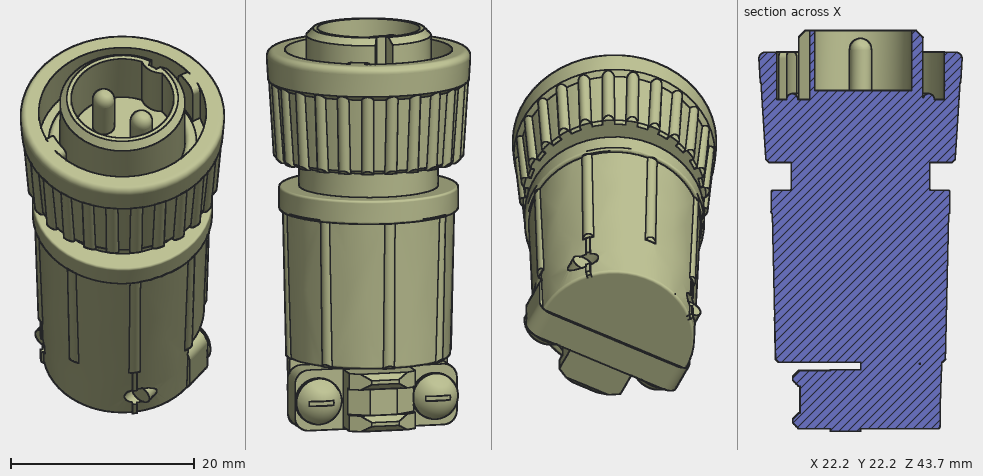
import cadquery as cq
import math

TOTAL_HEIGHT = 43.65
SHELL_BOTTOM = 0.25
SKIRT_BOTTOM = 7.5
BODY_TOP = 23.65
COLLAR_TOP = 26.25
NUT_BOTTOM = 29.25
NUT_LIP = 38.0
NUT_GRIP_TOP = 37.5
NUT_TOP = 41.27
NUT_FLOOR = 36.13
SOCKET_FLOOR = 37.1

BODY_TOP_RADIUS = 9.35
BODY_BOTTOM_RADIUS = 8.7
BODY_FILLET = 0.3
COLLAR_RADIUS = 9.77
COLLAR_FILLET = 0.25
NECK_RADIUS = 7.6
GRIP_RIB_COUNT = 8
GRIP_RIB_BOTTOM_HEIGHT = 0.35
GRIP_RIB_TOP_HEIGHT = 0.3
GRIP_RIB_RADIUS = 0.7
GRIP_RIB_BEVEL = 0.3
SEAM_RIB_WIDTH = 0.5
SEAM_RIB_RADIUS = 9.0
SEAM_RIB_BEVEL = 0.3
SEAM_ANGLES = (225, 315)

NUT_RADIUS = 11.147
NUT_TOP_FILLET = 0.75
NUT_LIP_RADIUS = 10.95
NUT_GRIP_TOP_RADIUS = 10.85
NUT_BOTTOM_RADIUS = 10.25
NUT_BOTTOM_BEVEL = 0.3
NUT_BORE_RADIUS = 9.1
NUT_RIB_COUNT = 24
NUT_RIB_RADIUS = 0.675
NUT_RIB_HEIGHT = 0.52
LUG_ANGLES = (68, 248)
LUG_INNER_RADIUS = 8.2
LUG_WIDTH = 2.95
LUG_FILLET = 0.7

TUBE_RADIUS = 6.8
TUBE_BORE_RADIUS = 5.6
TUBE_RIM_CHAMFER = 0.75
KEY_OUTER_WIDTH = 2.0
KEY_INNER_WIDTH = 1.0
KEY_DEPTH_RADIUS = 5.55
KEY_WALL_RADIUS = 2.3
KEY_WALL_TIP = 4.97
SEAL_OUTER_RADIUS = 8.05
PIN_SPACING = 5.1
PIN_RADIUS = 1.2
PIN_TOP = 42.75

CLAMP_WIDTH = 18.2
CLAMP_DEPTH = 3.27
CLAMP_HEIGHT = 6.7
CLAMP_FILLET = 1.53
SCREW_SPACING = 13.1
SCREW_HEIGHT = 3.27
SCREW_RADIUS = 1.18
SCREW_TIP = 5.55
SCREW_HEAD_RADIUS = 2.55
SCREW_HEAD_RIM = 0.55
SCREW_HEAD_DOME = 1.4
SCREW_SLOT_WIDTH = 0.52
SCREW_SLOT_DEPTH = 0.35

ARCH_WIDTH = 7.4
ARCH_REACH = 7.37
ARCH_WEB_REACH = 6.6
ARCH_HEIGHT = 6.35
ARCH_FLANGE_HEIGHT = 1.75
ARCH_CROWN_WIDTH = 3.05
ARCH_SHOULDER = 1.3
ARCH_FLANGE_BEVEL = 0.65

OVERLAP = 0.87


def cylinder(radius, bottom, top):
    return cq.Workplane("XY").workplane(offset=bottom).circle(radius).extrude(top - bottom)


def box(width, depth, height, center_x, front, bottom):
    """Box centred on center_x, starting at y = front and z = bottom."""
    block = cq.Workplane("XY").box(width, depth, height, centered=(True, False, False))
    return block.translate((center_x, front, bottom))


def cone(bottom_radius, top_radius, bottom, top):
    outline = [(0, bottom), (bottom_radius, bottom), (top_radius, top), (0, top)]
    return cq.Workplane("XZ").polyline(outline).close().revolve(360, (0, 0), (0, 1))


def turn(shape, angle):
    return shape.rotate(cq.Vector(0, 0, 0), cq.Vector(0, 0, 1), angle)


def rod_ring(count, rod_radius, bottom_radius, top_radius, bottom, top):
    """Ring of leaning round rods; the two ring radii are those of the rod axes."""
    lean = top_radius - bottom_radius
    rise = top - bottom
    rod = cq.Solid.makeCylinder(
        rod_radius,
        math.hypot(lean, rise),
        cq.Vector(bottom_radius, 0, bottom),
        cq.Vector(lean, 0, rise),
    )
    rods = [turn(rod, 360 * index / count) for index in range(count)]
    return cq.Workplane(cq.Compound.makeCompound(rods))


def beveled_envelope(bottom_radius, bottom, top):
    """Cone widening at 45 degrees, used to bevel the lower ends of ribs."""
    return cone(bottom_radius, bottom_radius + top - bottom, bottom, top)


def body_radius(height):
    """Radius of the tapered body wall at a height."""
    slope = (BODY_TOP_RADIUS - BODY_BOTTOM_RADIUS) / (BODY_TOP - SHELL_BOTTOM)
    return BODY_BOTTOM_RADIUS + slope * (height - SHELL_BOTTOM)


def make_body():
    skirt = cone(body_radius(SKIRT_BOTTOM), BODY_TOP_RADIUS, SKIRT_BOTTOM, BODY_TOP)
    rib_bottom_radius = body_radius(SKIRT_BOTTOM) + GRIP_RIB_BOTTOM_HEIGHT
    rib_top_radius = BODY_TOP_RADIUS + GRIP_RIB_TOP_HEIGHT
    ribs = rod_ring(
        GRIP_RIB_COUNT,
        GRIP_RIB_RADIUS,
        rib_bottom_radius - GRIP_RIB_RADIUS,
        rib_top_radius - GRIP_RIB_RADIUS,
        SKIRT_BOTTOM - OVERLAP,
        BODY_TOP + OVERLAP,
    )
    envelope = beveled_envelope(rib_bottom_radius - GRIP_RIB_BEVEL, SKIRT_BOTTOM, BODY_TOP)
    skirt = skirt.faces("<Z").edges().fillet(BODY_FILLET).union(ribs.intersect(envelope))

    front_top = SKIRT_BOTTOM + OVERLAP
    front = cone(BODY_BOTTOM_RADIUS, body_radius(front_top), SHELL_BOTTOM, front_top)
    front = front.faces("<Z").edges().fillet(BODY_FILLET)
    for angle in SEAM_ANGLES:
        front = front.union(turn(make_seam_rib(), angle))
    front_half = box(2 * COLLAR_RADIUS, COLLAR_RADIUS, front_top, 0, -COLLAR_RADIUS, 0)
    front = front.intersect(front_half)

    collar = cylinder(COLLAR_RADIUS, BODY_TOP, COLLAR_TOP).edges().fillet(COLLAR_FILLET)
    neck = cylinder(NECK_RADIUS, COLLAR_TOP - OVERLAP, NUT_FLOOR)
    return skirt.union(front).union(collar).union(neck)


def make_seam_rib():
    """Thin upright rib reaching from the axis towards +X."""
    rib = cq.Workplane("XY").box(
        SEAM_RIB_RADIUS, SEAM_RIB_WIDTH, SKIRT_BOTTOM - SHELL_BOTTOM, centered=(False, True, False)
    )
    return rib.edges(">X and <Z").chamfer(SEAM_RIB_BEVEL).translate((0, 0, SHELL_BOTTOM))


def make_nut():
    band = cone(NUT_LIP_RADIUS, NUT_RADIUS, NUT_LIP, NUT_TOP).faces(">Z").edges().fillet(NUT_TOP_FILLET)
    core_bottom_radius = NUT_BOTTOM_RADIUS - NUT_RIB_HEIGHT
    core_top_radius = NUT_GRIP_TOP_RADIUS - NUT_RIB_HEIGHT
    core = cone(core_bottom_radius, core_top_radius, NUT_BOTTOM, NUT_GRIP_TOP)
    core = core.faces("<Z").chamfer(NUT_BOTTOM_BEVEL)
    bevel = cone(core_top_radius, NUT_LIP_RADIUS, NUT_GRIP_TOP, NUT_LIP)
    ribs = rod_ring(
        NUT_RIB_COUNT,
        NUT_RIB_RADIUS,
        NUT_BOTTOM_RADIUS - NUT_RIB_RADIUS,
        NUT_GRIP_TOP_RADIUS - NUT_RIB_RADIUS,
        NUT_BOTTOM - OVERLAP,
        NUT_LIP,
    )
    ribs = ribs.intersect(beveled_envelope(NUT_BOTTOM_RADIUS - NUT_BOTTOM_BEVEL, NUT_BOTTOM, NUT_LIP))
    nut = band.union(bevel).union(core).union(ribs)
    nut = nut.cut(cylinder(NUT_BORE_RADIUS, NUT_FLOOR, NUT_TOP))
    for angle in LUG_ANGLES:
        nut = nut.union(turn(make_lug(), angle))
    return nut


def make_lug():
    """Bayonet lug on the nut bore, pointing to +X, flush with the top of the nut."""
    outer_radius = NUT_BORE_RADIUS + OVERLAP / 2
    lug = cq.Workplane("XY").box(
        outer_radius, LUG_WIDTH, NUT_TOP - NUT_FLOOR, centered=(False, True, False)
    )
    lug = lug.translate((0, 0, NUT_FLOOR)).edges("|X and >Z").fillet(LUG_FILLET)
    ring = cylinder(outer_radius, NUT_FLOOR, NUT_TOP).cut(cylinder(LUG_INNER_RADIUS, NUT_FLOOR, NUT_TOP))
    return lug.intersect(ring)


def make_socket():
    tube = cylinder(TUBE_RADIUS, NUT_FLOOR - OVERLAP, TOTAL_HEIGHT)
    tube = tube.faces(">Z").edges().chamfer(TUBE_RIM_CHAMFER)
    key_wall = cylinder(KEY_WALL_RADIUS, SOCKET_FLOOR, TOTAL_HEIGHT)
    key_wall = key_wall.translate((0, KEY_WALL_TIP + KEY_WALL_RADIUS, 0))
    bore = cylinder(TUBE_BORE_RADIUS, SOCKET_FLOOR, TOTAL_HEIGHT).cut(key_wall)
    keyway = (
        cq.Workplane("XY")
        .workplane(offset=NUT_FLOOR)
        .polyline([
            (-KEY_INNER_WIDTH / 2, KEY_DEPTH_RADIUS),
            (KEY_INNER_WIDTH / 2, KEY_DEPTH_RADIUS),
            (KEY_OUTER_WIDTH / 2, TUBE_RADIUS),
            (-KEY_OUTER_WIDTH / 2, TUBE_RADIUS),
        ])
        .close()
        .extrude(TOTAL_HEIGHT - NUT_FLOOR)
    )
    socket = tube.cut(bore).cut(keyway)
    for side in (-1, 1):
        pin = cylinder(PIN_RADIUS, SOCKET_FLOOR - OVERLAP, PIN_TOP - PIN_RADIUS)
        tip = cq.Workplane("XY").sphere(PIN_RADIUS).translate((0, 0, PIN_TOP - PIN_RADIUS))
        socket = socket.union(pin.union(tip).translate((side * PIN_SPACING / 2, 0, 0)))
    return socket


def make_seal():
    """Sealing ring lying half sunk in the floor of the gap around the tube."""
    ring_radius = (SEAL_OUTER_RADIUS + TUBE_RADIUS) / 2
    section_radius = (SEAL_OUTER_RADIUS - TUBE_RADIUS) / 2
    return cq.Workplane(cq.Solid.makeTorus(ring_radius, section_radius, cq.Vector(0, 0, NUT_FLOOR)))


def arch_layer(reach, bottom, height):
    """Flat layer of the arch: straight sides, sloping shoulders and a flat crown at y = reach."""
    return (
        cq.Workplane("XY")
        .workplane(offset=bottom)
        .polyline([
            (-ARCH_WIDTH / 2, 0),
            (ARCH_WIDTH / 2, 0),
            (ARCH_WIDTH / 2, reach - ARCH_SHOULDER),
            (ARCH_CROWN_WIDTH / 2, reach),
            (-ARCH_CROWN_WIDTH / 2, reach),
            (-ARCH_WIDTH / 2, reach - ARCH_SHOULDER),
        ])
        .close()
        .extrude(height)
    )


def make_arch():
    web_height = ARCH_HEIGHT - ARCH_FLANGE_HEIGHT
    arch = arch_layer(ARCH_WEB_REACH, SHELL_BOTTOM + ARCH_FLANGE_HEIGHT / 2, web_height)
    upper_flange_bottom = SHELL_BOTTOM + ARCH_HEIGHT - ARCH_FLANGE_HEIGHT
    for flange_bottom in (SHELL_BOTTOM, upper_flange_bottom):
        flange = arch_layer(ARCH_REACH, flange_bottom, ARCH_FLANGE_HEIGHT)
        arch = arch.union(flange.edges("|X and >Y").chamfer(ARCH_FLANGE_BEVEL))
    return arch


def make_screw_head():
    """Domed, slotted head standing on the rear face of the clamp, centred on x = 0."""
    dome_start = CLAMP_DEPTH + SCREW_HEAD_RIM
    dome_end = dome_start + SCREW_HEAD_DOME
    dome_radius = (SCREW_HEAD_RADIUS**2 + SCREW_HEAD_DOME**2) / (2 * SCREW_HEAD_DOME)
    mid_radius = SCREW_HEAD_RADIUS / 2
    mid_y = dome_end - dome_radius + math.sqrt(dome_radius**2 - mid_radius**2)
    head = (
        cq.Workplane("XY")
        .moveTo(0, CLAMP_DEPTH - OVERLAP)
        .lineTo(SCREW_HEAD_RADIUS, CLAMP_DEPTH - OVERLAP)
        .lineTo(SCREW_HEAD_RADIUS, dome_start)
        .threePointArc((mid_radius, mid_y), (0, dome_end))
        .close()
        .revolve(360, (0, 0), (0, 1))
    )
    slot = box(
        2 * SCREW_HEAD_RADIUS, SCREW_SLOT_DEPTH, SCREW_SLOT_WIDTH,
        0, dome_end - SCREW_SLOT_DEPTH, -SCREW_SLOT_WIDTH / 2,
    )
    return head.cut(slot)


def make_clamp():
    block = box(CLAMP_WIDTH, CLAMP_DEPTH, CLAMP_HEIGHT, 0, 0, 0)
    return block.edges("|Y").fillet(CLAMP_FILLET).union(make_arch())


def add_screws(part):
    """Open a hole in the front wall for each screw, then add its shank and head."""
    for side in (-1, 1):
        place = (side * SCREW_SPACING / 2, 0, SCREW_HEIGHT)
        hole = cq.Workplane("XZ").circle(SCREW_RADIUS).extrude(COLLAR_RADIUS).translate(place)
        shank = cq.Workplane("XZ").circle(SCREW_RADIUS).extrude(SCREW_TIP).translate(place)
        part = part.cut(hole).union(shank).union(make_screw_head().translate(place))
    return part


connector = make_body().union(make_nut()).union(make_socket()).union(make_seal())
result = add_screws(connector.union(make_clamp()))